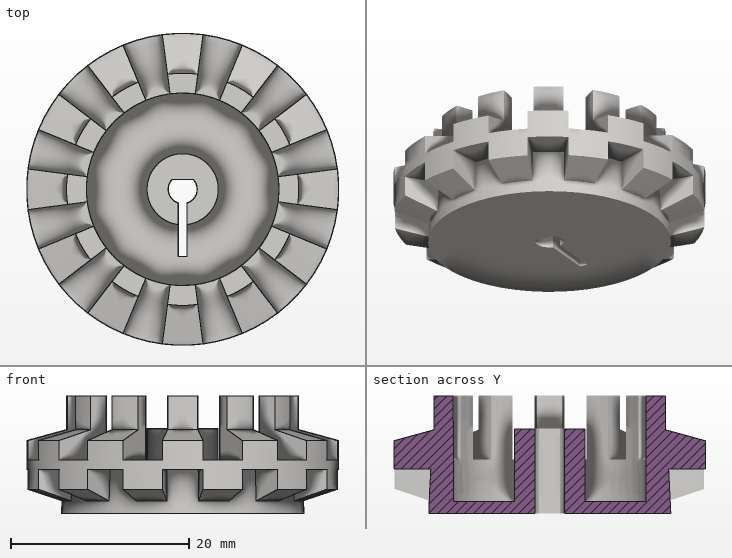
import cadquery as cq
import math

outer_radius = 17.5
total_height = 13.2
tooth_count = 12
tooth_angle = 360 / tooth_count / 2

drum_bottom_radius = 13.6
drum_top_radius = 13.35
rim_bottom = 4.95
rim_top = 6.0
bowl_radius = 21.6 / 2
floor_top = 1.4

post_outer_radius = 13.0
shoulder_inner_top = 9.4
shoulder_outer_top = 8.2

lower_tooth_inner_bottom = 1.35
lower_tooth_outer_bottom = 2.73

hub_radius = 4.0
hub_top = 9.5
bore_radius = 1.6
bore_flat_offset = 1.1
slot_width = 0.95
slot_reach = 7.52


def revolve_profile(points):
    """Revolve a closed (radius, height) outline about the Z axis."""
    return cq.Workplane("XZ").polyline(points).close().revolve(360, (0, 0, 0), (0, 1, 0))


def tooth_sectors(first_angle):
    """Ring of full-height wedges, the first one centred on first_angle."""
    reach = 2 * outer_radius
    half_angle = math.radians(tooth_angle / 2)
    x = reach * math.cos(half_angle)
    y = reach * math.sin(half_angle)
    wedge = cq.Workplane("XY").polyline([(0, 0), (x, -y), (x, y)]).close().extrude(total_height)
    sectors = cq.Workplane("XY")
    for i in range(tooth_count):
        angle = first_angle + i * 360 / tooth_count
        sectors = sectors.add(wedge.rotate((0, 0, 0), (0, 0, 1), angle))
    return sectors.combine()


def make_body():
    return revolve_profile([
        (0, 0),
        (drum_bottom_radius, 0),
        (drum_top_radius, rim_bottom),
        (outer_radius, rim_bottom),
        (outer_radius, rim_top),
        (bowl_radius, rim_top),
        (bowl_radius, floor_top),
        (0, floor_top),
    ])


def make_upper_teeth():
    ring = revolve_profile([
        (bowl_radius, rim_bottom),
        (outer_radius, rim_bottom),
        (outer_radius, shoulder_outer_top),
        (post_outer_radius, shoulder_inner_top),
        (post_outer_radius, total_height),
        (bowl_radius, total_height),
    ])
    return ring.intersect(tooth_sectors(0))


def make_lower_teeth():
    ring = revolve_profile([
        (bowl_radius, lower_tooth_inner_bottom),
        (drum_top_radius, lower_tooth_inner_bottom),
        (outer_radius, lower_tooth_outer_bottom),
        (outer_radius, rim_top),
        (bowl_radius, rim_top),
    ])
    return ring.intersect(tooth_sectors(tooth_angle))


def make_hub():
    return cq.Workplane("XY").circle(hub_radius).extrude(hub_top)


def make_bore_and_slot():
    bore = cq.Workplane("XY").circle(bore_radius).extrude(hub_top)
    below_flat = (
        cq.Workplane("XY")
        .rect(2 * bore_radius, 2 * bore_radius)
        .extrude(hub_top)
        .translate((0, bore_flat_offset - bore_radius, 0))
    )
    slot = (
        cq.Workplane("XY")
        .rect(slot_width, slot_reach)
        .extrude(hub_top)
        .translate((0, -slot_reach / 2, 0))
    )
    return bore.intersect(below_flat).union(slot)


result = (
    make_body()
    .union(make_upper_teeth())
    .union(make_lower_teeth())
    .union(make_hub())
    .cut(make_bore_and_slot())
)